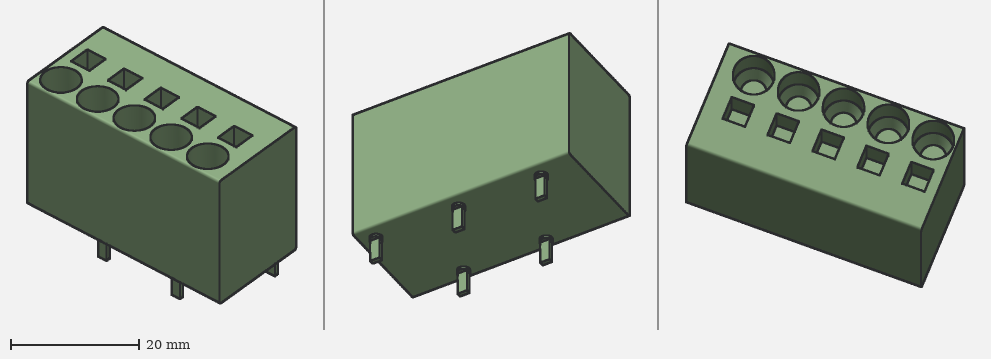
import cadquery as cq

HOUSING_LENGTH = 39.3
HOUSING_DEPTH = 18.5
OVERALL_HEIGHT = 28.75
EDGE_RADIUS = 0.47

POLE_COUNT = 5
POLE_PITCH = 7.5
FIRST_OPENING_X = 3.75
FIRST_PIN_X = 6.55

FUNNEL_DIAMETER = 6.5
FUNNEL_FLOOR_DIAMETER = 4.0
FUNNEL_BORE_DEPTH = 5.1
FUNNEL_CONE_DEPTH = 2.0
FUNNEL_Y = 3.75

SLOT_LENGTH = 3.75
SLOT_WIDTH = 3.9
SLOT_DEPTH = 5.1
SLOT_Y = 10.35

COLLAR_DIAMETER = 2.1
COLLAR_HEIGHT = 0.5
BLADE_LENGTH = 4.05
BLADE_WIDTH = 1.7
BLADE_THICKNESS = 0.8
FRONT_ROW_Y = 1.93
ROW_SPACING = 14.0
BACK_ROW_Y = FRONT_ROW_Y + ROW_SPACING

HOUSING_HEIGHT = OVERALL_HEIGHT - COLLAR_HEIGHT - BLADE_LENGTH


def make_funnel_cutter(x):
    """Bore and cone of one wire funnel, as a solid of revolution about its axis."""
    rim_radius = FUNNEL_DIAMETER / 2
    floor_radius = FUNNEL_FLOOR_DIAMETER / 2
    cone_bottom = -FUNNEL_BORE_DEPTH - FUNNEL_CONE_DEPTH
    half_profile = (
        cq.Workplane("XZ")
        .moveTo(0, 0)
        .lineTo(rim_radius, 0)
        .lineTo(rim_radius, -FUNNEL_BORE_DEPTH)
        .lineTo(floor_radius, cone_bottom)
        .lineTo(0, cone_bottom)
        .close()
    )
    cutter = half_profile.revolve(360, (0, 0, 0), (0, 1, 0))
    return cutter.translate((x, FUNNEL_Y, HOUSING_HEIGHT))


def make_slot_cutter(x):
    """One release slot, open at the top of the housing."""
    slot = cq.Workplane("XY").box(SLOT_LENGTH, SLOT_WIDTH, SLOT_DEPTH, centered=(True, True, False))
    return slot.translate((x, SLOT_Y, HOUSING_HEIGHT - SLOT_DEPTH))


def make_housing():
    """Block with rounded long edges and a funnel and a slot for each pole."""
    block = cq.Workplane("XY").box(HOUSING_LENGTH, HOUSING_DEPTH, HOUSING_HEIGHT, centered=False)
    housing = block.edges("|X").fillet(EDGE_RADIUS)
    for pole in range(POLE_COUNT):
        x = FIRST_OPENING_X + pole * POLE_PITCH
        housing = housing.cut(make_funnel_cutter(x))
        housing = housing.cut(make_slot_cutter(x))
    return housing


def make_pin(x, y):
    """Collar against the underside of the housing, with the blade hanging from it."""
    collar = cq.Workplane("XY").circle(COLLAR_DIAMETER / 2).extrude(-COLLAR_HEIGHT)
    blade = (
        cq.Workplane("XY")
        .workplane(offset=-COLLAR_HEIGHT)
        .rect(BLADE_WIDTH, BLADE_THICKNESS)
        .extrude(-BLADE_LENGTH)
    )
    return collar.union(blade).translate((x, y, 0))


housing = make_housing()

pins = []
for pole in range(POLE_COUNT):
    row_y = BACK_ROW_Y if pole % 2 == 0 else FRONT_ROW_Y
    pins.append(make_pin(FIRST_PIN_X + pole * POLE_PITCH, row_y))

result = cq.Compound.makeCompound([housing.val(), *[pin.val() for pin in pins]])